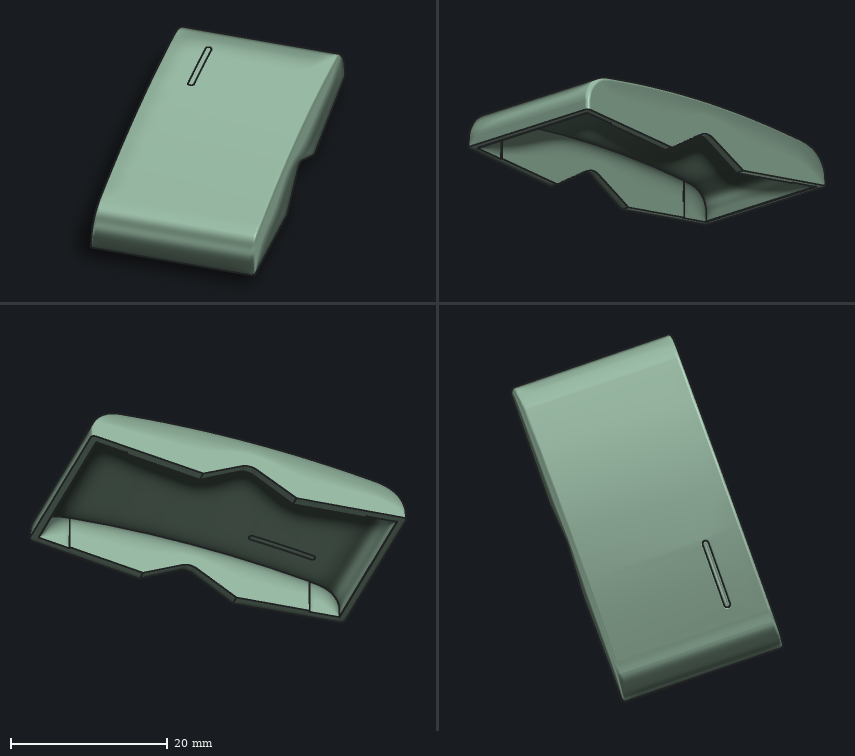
import cadquery as cq
import math

length = 43.5
width = 22.0
height = 8.05
half_length = length / 2

crown_radius = 141.38
blend_radius = 6.52
corner_radius = 4.05
corner_z = 2.8
end_bottom = 1.6
draft = 2.0

foot_y = 6.45
notch_slope = 30.0
notch_radius = 2.0

edge_round = 0.52
wall = 1.0
pad_thickness = 0.25
pad_length = 33.05

slot_x = -5.52
slot_y = 11.05
slot_width = 0.8
slot_length = 9.1
lip_round = 0.2

draft_angle = math.radians(draft)
base_half_length = half_length + end_bottom * math.tan(draft_angle)
corner_y = base_half_length - corner_z * math.tan(draft_angle) - corner_radius / math.cos(draft_angle)

clearance = 4.35


def blend_joints():
    """Points (y, z) where the blend arc meets the crown and the corner, with its midpoint between them."""
    crown_z = height - crown_radius
    rise = corner_z - crown_z
    center_gap = math.hypot(corner_y, rise)
    crown_to_blend = crown_radius - blend_radius
    blend_to_corner = blend_radius - corner_radius

    cosine = (crown_to_blend**2 + center_gap**2 - blend_to_corner**2) / (2 * crown_to_blend * center_gap)
    crown_angle = math.atan2(rise, corner_y) + math.acos(cosine)
    blend_y = crown_to_blend * math.cos(crown_angle)
    blend_z = crown_z + crown_to_blend * math.sin(crown_angle)
    corner_angle = math.atan2(corner_z - blend_z, corner_y - blend_y)

    angles = [crown_angle, (crown_angle + corner_angle) / 2, corner_angle]
    return [(blend_y + blend_radius * math.cos(a), blend_z + blend_radius * math.sin(a)) for a in angles]


def on_corner(angle):
    """Point (y, z) on the +Y corner arc at an angle above horizontal."""
    return (corner_y + corner_radius * math.cos(angle), corner_z + corner_radius * math.sin(angle))


def mirrored(point):
    """The same point on the -Y half."""
    return (-point[0], point[1])


def side_outline():
    """Closed side outline with a flat bottom at z = 0, drawn in the YZ plane."""
    crown_end, blend_mid, corner_end = blend_joints()
    corner_end_angle = math.atan2(corner_end[1] - corner_z, corner_end[0] - corner_y)
    corner_mid = on_corner((draft_angle + corner_end_angle) / 2)
    end_top = on_corner(draft_angle)
    return (
        cq.Workplane("YZ")
        .moveTo(-base_half_length, 0)
        .lineTo(base_half_length, 0)
        .lineTo(*end_top)
        .threePointArc(corner_mid, corner_end)
        .threePointArc(blend_mid, crown_end)
        .threePointArc((0, height), mirrored(crown_end))
        .threePointArc(mirrored(blend_mid), mirrored(corner_end))
        .threePointArc(mirrored(corner_mid), mirrored(end_top))
        .close()
    )


def drafted_block(bottom_width):
    """Long block whose sides lean inward as they rise from z = 0."""
    lean = height * math.tan(draft_angle)
    half_bottom = bottom_width / 2
    half_top = half_bottom - lean
    return (
        cq.Workplane("XZ")
        .polyline([(-half_bottom, 0), (half_bottom, 0), (half_top, height), (-half_top, height)])
        .close()
        .extrude(half_length + clearance, both=True)
    )


def outer_body():
    """Solid outer shape with rounded side edges, before the underside is cut."""
    body = side_outline().extrude(width, both=True).intersect(drafted_block(width))
    return body.faces("<X or >X").edges("not <Z").fillet(edge_round)


def cavity():
    """Hollow under the cap, leaving a constant wall and a thickened pad inside each side."""
    hollow = side_outline().offset2D(-wall).extrude(width, both=True)
    floor_opening = cq.Workplane().box(width, length - 2 * wall, 2 * end_bottom)
    hollow = hollow.union(floor_opening).intersect(drafted_block(width - 2 * wall))
    pad_offset = width / 2 - wall - pad_thickness
    for side in (-1, 1):
        pad = cq.Workplane().box(width, pad_length, 3 * height).translate((side * (pad_offset + width / 2), 0, 0))
        hollow = hollow.cut(pad)
    return hollow


def underside():
    """Everything below the sloping bottom edges and the notch."""
    notch_top = foot_y * math.tan(math.radians(notch_slope))
    beyond = half_length + clearance
    below = (
        cq.Workplane("YZ")
        .polyline([
            (-beyond, end_bottom), (-half_length, end_bottom), (-foot_y, 0), (0, notch_top), (foot_y, 0),
            (half_length, end_bottom), (beyond, end_bottom), (beyond, -clearance), (-beyond, -clearance),
        ])
        .close()
        .extrude(width, both=True)
    )
    return below.edges(cq.selectors.NearestToPointSelector((0, 0, notch_top))).fillet(notch_radius)


def slot_prism():
    """Upright prism with the outline of the indicator slot."""
    return (
        cq.Workplane()
        .center(slot_x, slot_y)
        .slot2D(slot_length, slot_width, 90)
        .extrude(height + clearance)
    )


def build_housing():
    """Hollow cap with the slot cut through its roof."""
    slotted = outer_body().cut(slot_prism())
    upper_slot_edges = cq.selectors.BoxSelector(
        (slot_x - slot_width, slot_y - slot_length, height / 2),
        (slot_x + slot_width, slot_y + slot_length, height + clearance),
    )
    slotted = slotted.edges(upper_slot_edges).fillet(lip_round)
    return slotted.cut(cavity()).cut(underside())


def build_lens():
    """Indicator lens that fills the slot, with a rounded upper rim that follows the crown."""
    lens = outer_body().intersect(slot_prism())
    return lens.faces(">Z").edges().fillet(lip_round).cut(cavity())


housing = build_housing()
lens = build_lens()

result = cq.Compound.makeCompound([housing.val(), lens.val()])